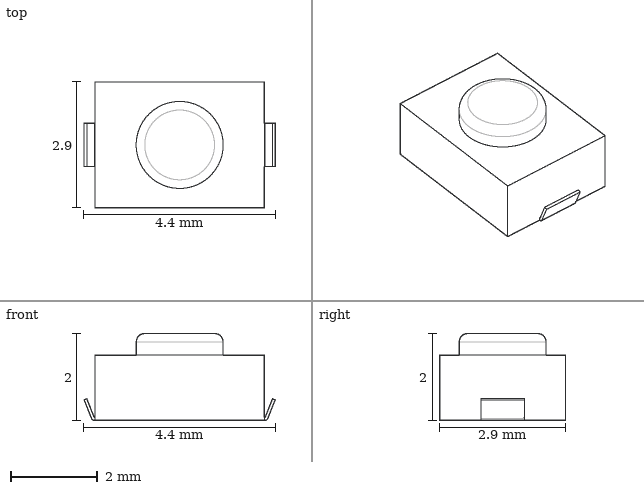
import cadquery as cq
import math

overall_length = 4.4
body_width = 2.9
overall_height = 2.0

button_diameter = 2.0
button_height = 0.5
button_fillet = 0.2

lead_width = 1.0
lead_thickness = 0.07
lead_height = 0.5
lead_flat = 0.012
lead_angle = math.radians(21.9)

lead_length = (lead_height - lead_thickness) / math.cos(lead_angle)
lead_overhang = lead_flat + lead_length * math.sin(lead_angle) + lead_thickness * math.cos(lead_angle)
body_length = overall_length - 2 * lead_overhang
body_height = overall_height - button_height


def make_body():
    return cq.Workplane("XY").box(body_length, body_width, body_height, centered=(True, True, False))


def make_button():
    return (
        cq.Workplane("XY")
        .workplane(offset=body_height)
        .circle(button_diameter / 2)
        .extrude(button_height)
        .faces(">Z")
        .edges()
        .fillet(button_fillet)
    )


def make_right_lead():
    """Strip leaving the +X face at the base, bent upward around its inner corner."""
    face_x = body_length / 2
    bend_x = face_x + lead_flat
    bend_z = lead_thickness

    def offset_from_bend(angle):
        """Point on the outer bend, at an angle below the +X direction."""
        return (
            bend_x + lead_thickness * math.cos(angle),
            bend_z - lead_thickness * math.sin(angle),
        )

    bend_end = offset_from_bend(lead_angle)
    bend_middle = offset_from_bend((lead_angle + math.pi / 2) / 2)
    run_x = lead_length * math.sin(lead_angle)
    run_z = lead_length * math.cos(lead_angle)

    return (
        cq.Workplane("XZ")
        .moveTo(face_x, bend_z)
        .lineTo(face_x, 0)
        .lineTo(bend_x, 0)
        .threePointArc(bend_middle, bend_end)
        .line(run_x, run_z)
        .lineTo(bend_x + run_x, bend_z + run_z)
        .lineTo(bend_x, bend_z)
        .close()
        .extrude(lead_width / 2, both=True)
    )


right_lead = make_right_lead()
left_lead = right_lead.mirror("YZ")
result = make_body().union(make_button()).union(right_lead).union(left_lead)